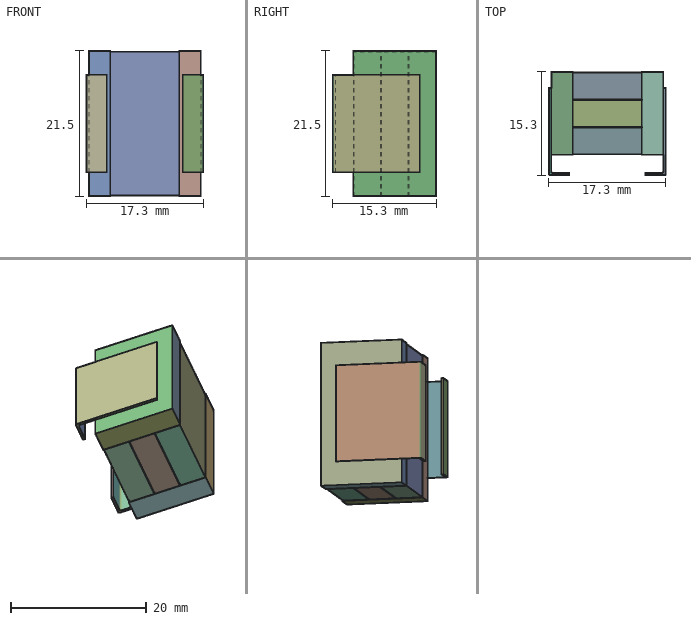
import cadquery as cq

TOTAL_WIDTH = 17.3
STACK_HEIGHT = 21.5
STACK_DEPTH = 12.3
STANDOFF = 3.0

CAP_WIDTH = 3.2
LAYER_COUNT = 3
LAYER_STEP = 0.09
LAYER_GAP = 0.09

FRAME_THICKNESS = 0.35
FRAME_HEIGHT = 14.45
FRAME_DEPTH = 12.92
FOOT_LENGTH = 3.0
OUTER_BEND_RADIUS = 0.2
INNER_BEND_RADIUS = 0.25

STACK_WIDTH = TOTAL_WIDTH - 2 * FRAME_THICKNESS
FOOT_Y = -(STACK_DEPTH / 2 + STANDOFF)
CAP_CENTER_X = (STACK_WIDTH - CAP_WIDTH) / 2
LAYER_WIDTH = STACK_WIDTH - 2 * CAP_WIDTH
LAYER_DEPTH = (STACK_DEPTH - 2 * LAYER_STEP - (LAYER_COUNT - 1) * LAYER_GAP) / LAYER_COUNT
LAYER_PITCH = LAYER_DEPTH + LAYER_GAP
LAYER_HEIGHT = STACK_HEIGHT - 2 * LAYER_STEP


def make_stack():
    """Ceramic layers with through gaps between them, tied together by an end cap on each side."""
    stack = cq.Workplane("XY")
    for side in (-1, 1):
        cap = cq.Workplane("XY").box(CAP_WIDTH, STACK_DEPTH, STACK_HEIGHT)
        stack = stack.add(cap.translate((side * CAP_CENTER_X, 0, 0)))
    for index in range(LAYER_COUNT):
        layer_y = (index - (LAYER_COUNT - 1) / 2) * LAYER_PITCH
        layer = cq.Workplane("XY").box(LAYER_WIDTH, LAYER_DEPTH, LAYER_HEIGHT)
        stack = stack.add(layer.translate((0, layer_y, 0)))
    return stack.combine()


def make_left_frame():
    """L-shaped lead frame: a plate against the left end cap and a foot bent inward."""
    outer_x = -TOTAL_WIDTH / 2
    inner_x = outer_x + FRAME_THICKNESS
    foot_top_y = FOOT_Y + FRAME_THICKNESS
    frame = (
        cq.Workplane("XY", origin=(0, 0, -FRAME_HEIGHT / 2))
        .moveTo(outer_x, FOOT_Y)
        .lineTo(outer_x + FOOT_LENGTH, FOOT_Y)
        .lineTo(outer_x + FOOT_LENGTH, foot_top_y)
        .lineTo(inner_x, foot_top_y)
        .lineTo(inner_x, FOOT_Y + FRAME_DEPTH)
        .lineTo(outer_x, FOOT_Y + FRAME_DEPTH)
        .close()
        .extrude(FRAME_HEIGHT)
    )
    outer_edge = cq.selectors.NearestToPointSelector((outer_x, FOOT_Y, 0))
    inner_edge = cq.selectors.NearestToPointSelector((inner_x, foot_top_y, 0))
    frame = frame.edges("|Z").edges(outer_edge).fillet(OUTER_BEND_RADIUS)
    return frame.edges("|Z").edges(inner_edge).fillet(INNER_BEND_RADIUS)


stack = make_stack()
left_frame = make_left_frame()
right_frame = left_frame.mirror("YZ")

result = cq.Compound.makeCompound([stack.val(), left_frame.val(), right_frame.val()])